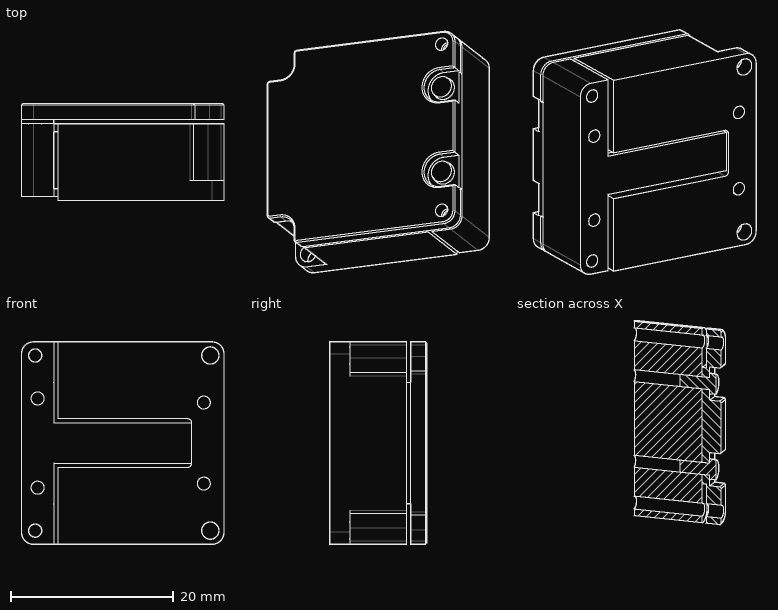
import cadquery as cq
import math

side = 25.0
half = side / 2
corner_radius = 1.5

mount_face = -6.0
moving_face = -5.5
flange_back = -3.5
flexure_back = 3.5
cover_front = 4.0
slot_floor = 4.5
cover_back = 6.0

moving_end_inner = -8.5
leaf_end = 8.5
gap = 0.5
leaf_half_width = 2.5
leaf_thickness = 1.0
recess_half_width = leaf_half_width + gap
recess_corner_radius = 0.5

notch_radius = 1.8
notch_edge_radius = 0.4
flexure_notch_center = 10.5
cover_notch_center = 10.7

corner_hole_offset = 10.8
mount_hole_diameter = 2.1
small_hole_diameter = 1.6
fixed_hole_x = 10.0
fixed_hole_z = 5.0

cover_chamfer = 0.2
pad_half_length = 7.5

screw_x = -10.5
screw_z = 5.5
slot_radius = 2.1
head_height = 0.8
head_seat_diameter = 2.8
head_draft = 5.0
shank_diameter = small_hole_diameter
shank_length = 4.0


def plane_at(y):
    """Workplane parallel to XZ at the given Y, with local axes X and Z."""
    return cq.Workplane("XZ", origin=(0, y, 0))


def block(x_min, x_max, z_min, z_max, y_min, y_max):
    """Rectangular block between the given limits."""
    return (
        cq.Workplane("XY")
        .box(x_max - x_min, y_max - y_min, z_max - z_min, centered=False)
        .translate((x_min, y_min, z_min))
    )


def hole_tools(points, diameter, y_min, y_max):
    """Cylinders along Y used to cut holes at the given (x, z) points."""
    return plane_at(y_min).pushPoints(points).circle(diameter / 2).extrude(y_min - y_max)


def mirrored(x, z):
    """The point (x, z) and its mirror image below the middle plane."""
    return [(x, z), (x, -z)]


def corner_notches(center, y_min, y_max):
    """Tools for the two right-hand corner notches, with a round inner corner and rounded rims."""
    wall = center - notch_radius
    inner_mid = center - notch_radius * math.sqrt(0.5)
    rim_center = wall - notch_edge_radius
    rim_mid = rim_center + notch_edge_radius * math.sqrt(0.5)
    rim_start = half - notch_edge_radius
    rim_outer_mid = rim_start + notch_edge_radius * math.sqrt(0.5)
    upper = (
        plane_at(y_min)
        .moveTo(half, rim_center)
        .threePointArc((rim_outer_mid, rim_mid), (rim_start, wall))
        .lineTo(center, wall)
        .threePointArc((inner_mid, inner_mid), (wall, center))
        .lineTo(wall, rim_start)
        .threePointArc((rim_mid, rim_outer_mid), (rim_center, half))
        .lineTo(half, half)
        .close()
        .extrude(y_min - y_max)
    )
    return upper.union(upper.mirror("XY"))


def make_moving_end():
    """Left end of the flexure, set back from the mounting face."""
    end = block(-half, moving_end_inner, -half, half, moving_face, flexure_back)
    end = end.edges("|Y and <X").fillet(corner_radius)
    holes = mirrored(-corner_hole_offset, corner_hole_offset) + mirrored(screw_x, screw_z)
    return end.cut(hole_tools(holes, small_hole_diameter, moving_face, flexure_back))


def make_fixed_end():
    """Right end of the flexure: two arms beside the leaves and a flange for mounting."""
    arms_start = moving_end_inner + gap
    end = block(arms_start, half, -half, half, mount_face, flexure_back)
    end = end.edges("|Y and >X").fillet(corner_radius)
    recess = block(
        arms_start, leaf_end, -recess_half_width, recess_half_width, mount_face, flexure_back
    )
    end = end.cut(recess.edges("|Y and >X").fillet(recess_corner_radius))
    end = end.cut(corner_notches(flexure_notch_center, flange_back, flexure_back))
    mount_holes = mirrored(corner_hole_offset, corner_hole_offset)
    end = end.cut(hole_tools(mount_holes, mount_hole_diameter, mount_face, flange_back))
    small_holes = mirrored(fixed_hole_x, fixed_hole_z)
    return end.cut(hole_tools(small_holes, small_hole_diameter, mount_face, flexure_back))


def make_flexure():
    """One-piece parallel flexure: both ends joined by a front leaf and a back leaf."""
    flexure = make_moving_end().union(make_fixed_end())
    for leaf_front in (moving_face, flexure_back - leaf_thickness):
        leaf = block(
            moving_end_inner,
            leaf_end,
            -leaf_half_width,
            leaf_half_width,
            leaf_front,
            leaf_front + leaf_thickness,
        )
        flexure = flexure.union(leaf)
    return flexure


def make_cover():
    """Square plate standing on a pad, with slots for the screw heads."""
    cover = block(-half, half, -half, half, cover_front, cover_back)
    cover = cover.edges("|Y and <X").fillet(corner_radius)
    cover = cover.cut(corner_notches(cover_notch_center, cover_front, cover_back))
    for z in (-screw_z, screw_z):
        slot = block(-half, screw_x, z - slot_radius, z + slot_radius, slot_floor, cover_back)
        round_end = hole_tools([(screw_x, z)], 2 * slot_radius, slot_floor, cover_back)
        cover = cover.cut(slot.union(round_end))
    cover = cover.faces(">Y").chamfer(cover_chamfer)
    pad = block(
        -half, moving_end_inner, -pad_half_length, pad_half_length, flexure_back, cover_front
    )
    cover = cover.union(pad)
    corner_holes = mirrored(-corner_hole_offset, corner_hole_offset)
    cover = cover.cut(hole_tools(corner_holes, small_hole_diameter, cover_front, cover_back))
    screw_holes = mirrored(screw_x, screw_z)
    return cover.cut(hole_tools(screw_holes, shank_diameter, flexure_back, slot_floor))


def make_screw(z):
    """Cover screw with a slightly tapered head, seated on its slot floor."""
    seat = plane_at(slot_floor).center(screw_x, z)
    head = seat.circle(head_seat_diameter / 2).extrude(-head_height, taper=head_draft)
    shank = seat.circle(shank_diameter / 2).extrude(shank_length)
    return head.union(shank)


flexure = make_flexure()
cover = make_cover()
screws = [make_screw(z) for z in (-screw_z, screw_z)]

result = cq.Compound.makeCompound([flexure.val(), cover.val(), *[screw.val() for screw in screws]])